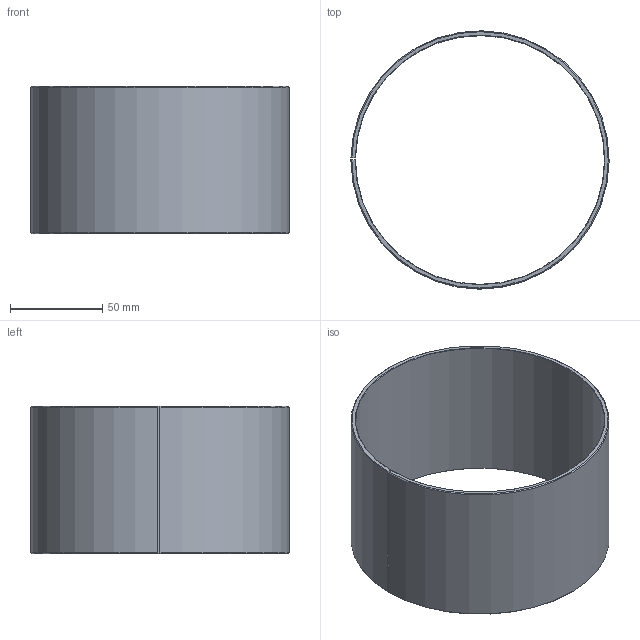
import cadquery as cq

outer_diameter = 140.0
wall_thickness = 2.5
height = 80.0
outer_chamfer = 0.5
inner_chamfer = 0.2
slit_angle = 1.0

outer_radius = outer_diameter / 2
inner_radius = outer_radius - wall_thickness


def wall_section():
    """Wall cross-section on the -X side, with chamfered outer and inner rim corners."""
    outer_x = -outer_radius
    inner_x = -inner_radius
    return (
        cq.Workplane("XZ")
        .moveTo(outer_x, outer_chamfer)
        .lineTo(outer_x + outer_chamfer, 0)
        .lineTo(inner_x - inner_chamfer, 0)
        .lineTo(inner_x, inner_chamfer)
        .lineTo(inner_x, height - inner_chamfer)
        .lineTo(inner_x - inner_chamfer, height)
        .lineTo(outer_x + outer_chamfer, height)
        .lineTo(outer_x, height - outer_chamfer)
        .close()
    )


def split_sleeve():
    """Sweep the wall counterclockwise about Z, stopping short of a full turn to leave the slit.

    One slit face lies in the XZ plane; the slit opens from it toward +Y.
    """
    axis_start = (0, 0, 0)
    axis_end = (0, 1, 0)
    return wall_section().revolve(360 - slit_angle, axis_start, axis_end)


result = split_sleeve()